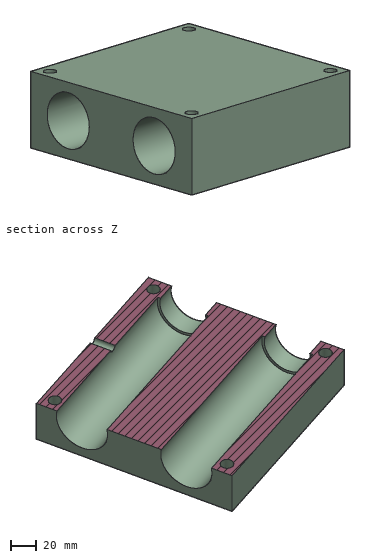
import cadquery as cq

side = 180
height = 64.0

bolt_diameter = 10.5
bolt_spacing = 158.0

bore_spacing = 96.0
bore_diameter = 47.0
lip_diameter = 42.3
lip_length = 18
bore_depth = side - lip_length

port_diameter = 6.8
port_height = 5.0
port_depth = (side - bore_spacing) / 2


def stepped_bores():
    """Wide bores from the -Y face, narrowed by a lip at the +Y end."""
    front = cq.Workplane("XZ", origin=(0, -side / 2, 0))
    front = front.pushPoints([(-bore_spacing / 2, 0), (bore_spacing / 2, 0)])
    wide = front.circle(bore_diameter / 2).extrude(-bore_depth)
    narrow = front.circle(lip_diameter / 2).extrude(-side)
    return wide.union(narrow)


def bolt_holes():
    """Through holes along Z, one near each corner."""
    return (
        cq.Workplane("XY", origin=(0, 0, -height / 2))
        .rect(bolt_spacing, bolt_spacing, forConstruction=True)
        .vertices()
        .circle(bolt_diameter / 2)
        .extrude(height)
    )


def side_port():
    """Small hole along X from the -X face."""
    return (
        cq.Workplane("YZ", origin=(-side / 2, 0, port_height))
        .circle(port_diameter / 2)
        .extrude(port_depth)
    )


block = cq.Workplane("XY").box(side, side, height)
result = block.cut(stepped_bores()).cut(bolt_holes()).cut(side_port())